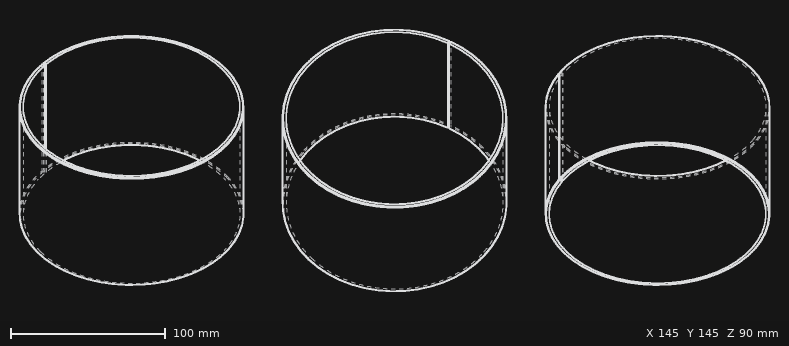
import cadquery as cq

outer_diameter = 145.0
height = 90.0
wall = 2.5
slit_width = 1.2
edge_chamfer = 0.6

outer_radius = outer_diameter / 2
inner_radius = outer_radius - wall

body = cq.Workplane("XY").cylinder(height, outer_radius).faces("<Z or >Z").chamfer(edge_chamfer)
bore = cq.Workplane("XY").cylinder(height, inner_radius)
ring = body.cut(bore)

slit_depth = 2 * wall
slit_middle = (wall / 2 - outer_radius, slit_width / 2, 0)
slit = cq.Workplane("XY").box(slit_depth, slit_width, height).translate(slit_middle)

result = ring.cut(slit)